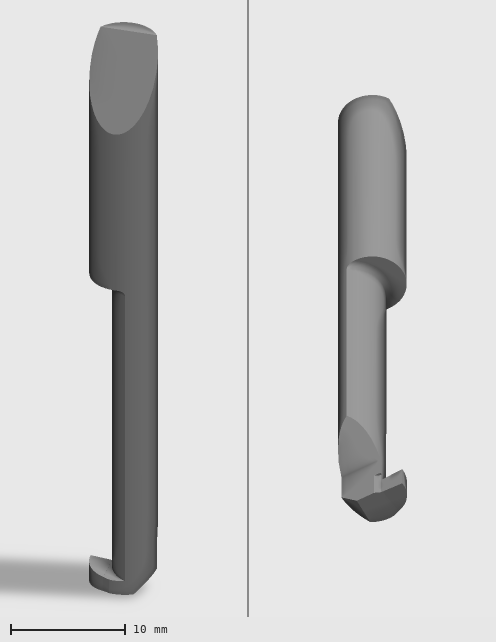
import cadquery as cq
import math

length = 55.0
shank_radius = 3.0
flank_radius = 3.1
neck_offset = 2.15
shoulder_height = 31.25
shoulder_fillet = 0.5
end_bevel_angle = 30.0
end_bevel_depth = 4.55
flat_y = 0.19
flat_top = 4.55
corner_chamfer = 1.55
clear = 2 * shank_radius

head_bottom_back = 0.1
head_top_back = 1.9
back_to_front_drop = 0.2
head_top_front = head_top_back - back_to_front_drop
head_bottom_front = head_bottom_back + back_to_front_drop

rake_y = -0.05
groove_top = 2.65
groove_floor_end = -0.8
groove_ramp_end = -0.3

tip_x = -2.95
tip_height = 2.1
land_end_y = -0.41
seam_back_x = -1.0
seam_front = (-1.1, -2.7)
flank_middle = (-2.35, -1.85)
head_corner_x = -0.45
head_corner = (head_corner_x, -math.sqrt(shank_radius**2 - head_corner_x**2))


def x_prism(points):
    """Extrude a Y-Z outline right across the bar in X."""
    return cq.Workplane("YZ").polyline(points).close().extrude(clear, both=True)


def clearance_wedge():
    """Space between the head's top and bottom, which close up toward -Y."""
    return x_prism([
        (flat_y, head_bottom_back),
        (flat_y, head_top_back),
        (-shank_radius, head_top_front),
        (-shank_radius, head_bottom_front),
    ])


def chip_groove():
    outline = [
        (-clear, rake_y),
        (groove_floor_end, rake_y),
        (groove_ramp_end, flat_y),
        (groove_ramp_end, clear),
        (-clear, clear),
    ]
    return cq.Workplane("XY").polyline(outline).close().extrude(groove_top)


def neck_relief():
    """Material removed on the -X side of the neck, rounded under the shoulder."""
    block = cq.Workplane("XY").box(clear + neck_offset, 2 * clear, shoulder_height,
                                   centered=(False, True, False)).translate((-clear, 0, 0))
    flank = cq.Workplane("XY").center(neck_offset, 0).circle(flank_radius).extrude(shoulder_height)
    relief = block.cut(flank)
    return relief.faces(">Z").edges("%CIRCLE").fillet(shoulder_fillet)


def upper_bevel():
    cut_height = end_bevel_depth / math.tan(math.radians(end_bevel_angle))
    return x_prism([
        (-shank_radius, length - cut_height),
        (-shank_radius, length),
        (end_bevel_depth - shank_radius, length),
    ])


def lower_flat():
    slope_height = (clear - flat_y) / math.tan(math.radians(end_bevel_angle))
    return x_prism([
        (flat_y, 0),
        (flat_y, flat_top),
        (clear, flat_top + slope_height),
        (clear, 0),
    ])


def corner_cut():
    """45 degree corner at the lower +X side of the head."""
    outline = [
        (shank_radius - corner_chamfer, head_bottom_back),
        (shank_radius, head_bottom_back + corner_chamfer),
        (shank_radius, head_bottom_back),
    ]
    return cq.Workplane("XZ").polyline(outline).close().extrude(clear, both=True)


def bottom_trim():
    """Space below the sloping underside of the head."""
    return x_prism([
        (shank_radius, 0),
        (shank_radius, head_bottom_back),
        (flat_y, head_bottom_back),
        (-shank_radius, head_bottom_front),
        (-shank_radius, 0),
    ])


def head_space():
    """Region at the lower end where the neck relief leaves the head standing."""
    outline = (
        cq.Workplane("XY")
        .moveTo(seam_back_x, flat_y)
        .lineTo(*seam_front)
        .lineTo(*head_corner)
        .lineTo(head_corner_x, -clear)
        .lineTo(clear, -clear)
        .lineTo(clear, flat_y)
        .close()
    )
    return outline.extrude(tip_height).intersect(clearance_wedge())


def make_holder():
    bar = cq.Workplane("XY").circle(shank_radius).extrude(length)
    bar = bar.cut(neck_relief().cut(head_space()))
    bar = bar.cut(upper_bevel()).cut(bottom_trim())
    return bar.cut(lower_flat()).cut(chip_groove()).cut(corner_cut())


def tip_envelope():
    """Wedge between the tip's top and bottom, which close up toward -Y and toward the head."""
    return (
        cq.Workplane("YZ", origin=(tip_x, 0, 0))
        .polyline([
            (rake_y, 0),
            (rake_y, tip_height),
            (-shank_radius, tip_height - back_to_front_drop),
            (-shank_radius, back_to_front_drop),
        ])
        .close()
        .workplane(offset=seam_back_x - tip_x)
        .polyline([
            (rake_y, head_bottom_back),
            (rake_y, head_top_back),
            (-shank_radius, head_top_front),
            (-shank_radius, head_bottom_front),
        ])
        .close()
        .loft(ruled=True)
    )


def make_tip():
    """Cutting tip, highest at its outer corner."""
    plan = (
        cq.Workplane("XY")
        .moveTo(seam_back_x, flat_y)
        .lineTo(tip_x, flat_y)
        .lineTo(tip_x, land_end_y)
        .threePointArc(flank_middle, seam_front)
        .close()
        .extrude(tip_height)
    )
    return plan.intersect(tip_envelope())


holder = make_holder()
cutting_tip = make_tip()
result = cq.Compound.makeCompound([*holder.solids().vals(), *cutting_tip.solids().vals()])